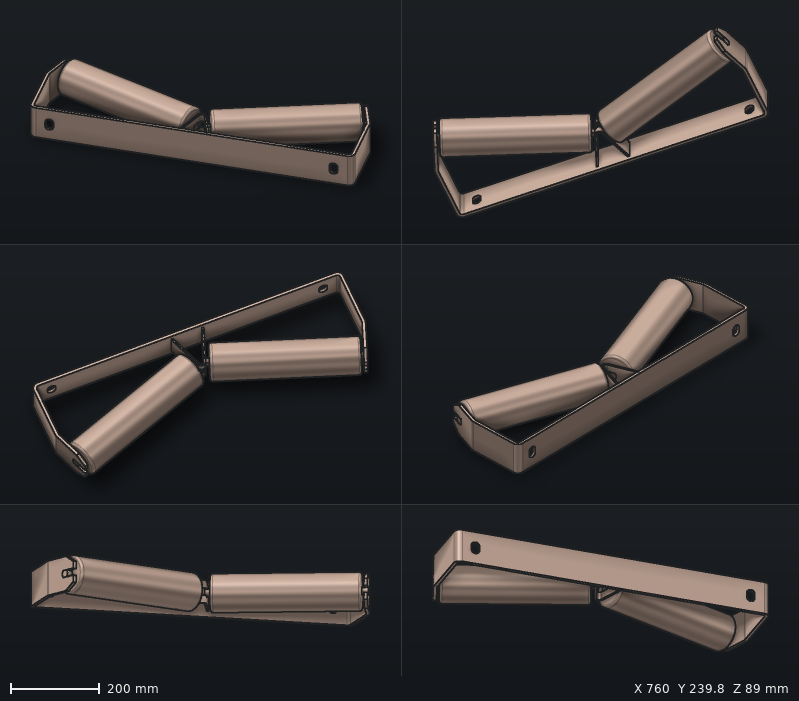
import cadquery as cq
import math


frame_width = 760.0
strap_height = 80.0
strap_thickness = 8.0
corner_radius = 15.0
arm_bend_radius = 14.0
arm_length = 97.0
tip_chamfer_length = 28.0
tip_chamfer_height = 16.0

mount_hole_spacing = 666.0
mount_hole_width = 20.0
mount_hole_height = 28.0

tilt = 20.0
roller_diameter = 89.0
roller_length = 343.0
roller_edge_radius = 6.0
roller_center_x = 183.0
roller_center_y = 141.0
outboard_gap = 5.7
inboard_gap = 8.0

shaft_diameter = 20.0
shaft_flat_width = 16.0

bracket_height = 53.0
bracket_thickness = 4.5
bracket_bend_radius = 11.0

half_width = frame_width / 2
tilt_sin = math.sin(math.radians(tilt))
tilt_cos = math.cos(math.radians(tilt))
tilt_tan = math.tan(math.radians(tilt))
shaft_outboard = roller_length / 2 + outboard_gap + strap_thickness
shaft_inboard = roller_length / 2 + inboard_gap + bracket_thickness
slot_reach = frame_width


def axis_point(distance):
    """XY point on the left roller's axis, at a distance from its center toward the bracket."""
    return (-roller_center_x + distance * tilt_cos, roller_center_y - distance * tilt_sin)


arm_axis_x, arm_axis_y = axis_point(-shaft_outboard)
arm_bend_y = arm_axis_y - (arm_axis_x + half_width) / tilt_tan

leg_axis_x, leg_axis_y = axis_point(roller_length / 2 + inboard_gap)
apex_y = leg_axis_y - leg_axis_x / tilt_tan


def place_on_axis(body, side):
    """Move a body built along X about the origin to the left (-1) or right (+1) roller axis."""
    turned = body.rotate((0, 0, 0), (0, 0, 1), side * tilt)
    return turned.translate((side * roller_center_x, roller_center_y, 0))


def make_shaft(side):
    """Shaft with flats on top and bottom, flush with the arm and with the bracket leg."""
    length = shaft_outboard + shaft_inboard
    middle = side * (shaft_outboard - shaft_inboard) / 2
    round_bar = cq.Workplane("YZ").circle(shaft_diameter / 2).extrude(length / 2, both=True)
    flat_bar = cq.Workplane("XY").box(length, shaft_diameter, shaft_flat_width)
    return place_on_axis(round_bar.intersect(flat_bar).translate((middle, 0, 0)), side)


def make_roller(side):
    """Roller barrel with rounded rims, in one piece with its shaft ends."""
    end_plane = cq.Workplane("YZ", origin=(-roller_length / 2, 0, 0))
    barrel = end_plane.circle(roller_diameter / 2).extrude(roller_length)
    barrel = barrel.faces("<X or >X").edges().fillet(roller_edge_radius)
    return place_on_axis(barrel, side).union(make_shaft(side))


def cut_shaft_slots(body, start_y):
    """Cut slots that are open toward +Y above start_y and end in the outline of the shafts."""
    slot = cq.Workplane("XY").box(frame_width, slot_reach, shaft_flat_width)
    body = body.cut(slot.translate((0, start_y + slot_reach / 2, 0)))
    for side in (-1, 1):
        body = body.cut(make_shaft(side))
    return body


def round_upright_edges(body, x, y, radius):
    """Fillet the pair of upright edges at (x, y) and (-x, y)."""
    for edge_x in (-x, x):
        body = body.edges("|Z").edges(cq.NearestToPointSelector((edge_x, y, 0))).fillet(radius)
    return body


def make_tip_chamfers(side):
    """Two wedges that cut the top and bottom corners off an arm's tip."""
    tip_y = arm_length - (arm_axis_y - arm_bend_y) / tilt_cos
    wedges = (
        cq.Workplane("YZ")
        .moveTo(tip_y, strap_height / 2)
        .lineTo(tip_y - tip_chamfer_length, strap_height / 2)
        .lineTo(tip_y, strap_height / 2 - tip_chamfer_height)
        .close()
        .extrude(strap_thickness)
    )
    wedges = wedges.union(wedges.mirror("XY"))
    start = shaft_outboard - strap_thickness if side > 0 else -shaft_outboard
    return place_on_axis(wedges.translate((start, 0, 0)), side)


def make_frame():
    """Strap bent into a wide U whose arms lean inward, square to the roller axes."""
    inner_bend_y = arm_bend_y - strap_thickness * math.tan(math.radians(tilt / 2))
    tip_x = -half_width + arm_length * tilt_sin
    tip_y = arm_bend_y + arm_length * tilt_cos
    left_half = [
        (0, 0),
        (-half_width, 0),
        (-half_width, arm_bend_y),
        (tip_x, tip_y),
        (tip_x + strap_thickness * tilt_cos, tip_y - strap_thickness * tilt_sin),
        (-half_width + strap_thickness, inner_bend_y),
        (-half_width + strap_thickness, strap_thickness),
        (0, strap_thickness),
    ]
    half_strap = cq.Workplane("XY").polyline(left_half).close().extrude(strap_height / 2, both=True)
    frame = half_strap.union(half_strap.mirror("YZ"))

    inner_x = half_width - strap_thickness
    frame = round_upright_edges(frame, half_width, 0, corner_radius)
    frame = round_upright_edges(frame, inner_x, strap_thickness, corner_radius - strap_thickness)
    frame = round_upright_edges(frame, half_width, arm_bend_y, arm_bend_radius)
    frame = round_upright_edges(frame, inner_x, inner_bend_y, arm_bend_radius - strap_thickness)

    for side in (-1, 1):
        frame = frame.cut(make_tip_chamfers(side))
    arm_middle_y = arm_axis_y - strap_thickness / 2 * tilt_sin
    frame = cut_shaft_slots(frame, arm_middle_y)

    mount_holes = (
        cq.Workplane("XZ")
        .pushPoints([(-mount_hole_spacing / 2, 0), (mount_hole_spacing / 2, 0)])
        .slot2D(mount_hole_height, mount_hole_width, 90)
        .extrude(-strap_thickness)
    )
    return frame.cut(mount_holes)


def make_wedge(top_y, bend_radius):
    """Triangular block standing on the frame's back, with its apex rounded."""
    half_base = (top_y - strap_thickness) * tilt_tan
    wedge = (
        cq.Workplane("XY")
        .polyline([(-half_base, strap_thickness), (half_base, strap_thickness), (0, top_y)])
        .close()
        .extrude(bracket_height / 2, both=True)
    )
    return wedge.edges("|Z and >Y").fillet(bend_radius)


def make_bracket():
    """Inverted V of thin strip, slotted through its bend for the inboard shaft ends."""
    outer = make_wedge(apex_y, bracket_bend_radius)
    inner = make_wedge(apex_y - bracket_thickness / tilt_sin, bracket_bend_radius - bracket_thickness)
    leg_middle_y = leg_axis_y - bracket_thickness / 2 * tilt_sin
    return cut_shaft_slots(outer.cut(inner), leg_middle_y)


frame = make_frame()
bracket = make_bracket()
rollers = [make_roller(side) for side in (-1, 1)]

bodies = [frame, bracket, *rollers]
result = cq.Compound.makeCompound([body.solids().val() for body in bodies])